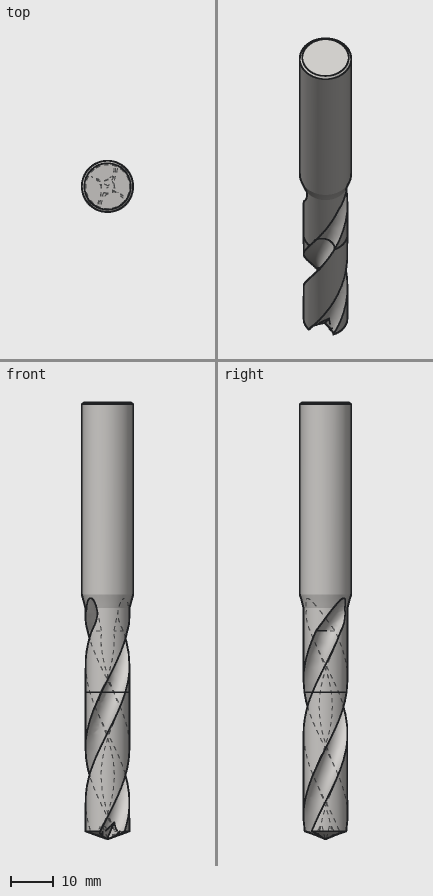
import cadquery as cq
import math

total_length = 102.0
shank_diameter = 12.0
body_diameter = 10.3
shank_chamfer_width = 0.6
shank_chamfer_height = 0.4
shank_bottom = 57.1
shoulder_height = 3.2
joint_height = 34.4
point_angle = 140.0

flute_count = 2
flute_pitch = 64.0
flute_radius = 3.0
core_radius = 1.5
flute_level = 15.0
flute_start = -1.0
flute_end = 48.8
runout_height = 9.2
runout_outward = 0.33
runout_sideways = 0.7

gash_root = cq.Vector(0, -0.2, 0.3)
gash_land_corner = cq.Vector(-1.1, -2.4, 1.7)
gash_lip_corner = cq.Vector(2.9, -1.8, 1.9)
gash_apex = cq.Vector(1.9, -1.2, 4.8)
gash_overrun = 0.3

shank_radius = shank_diameter / 2
body_radius = body_diameter / 2
point_height = body_radius / math.tan(math.radians(point_angle / 2))
shoulder_bottom = shank_bottom - shoulder_height
flute_offset = core_radius + flute_radius
flute_angles = [i * 360.0 / flute_count for i in range(flute_count)]


def turn_angle(height):
    """Helix angle about Z, in degrees, of the first flute at a height."""
    return 360.0 * (height - flute_level) / flute_pitch


def revolve(outline):
    return cq.Workplane("XZ").polyline(outline).close().revolve(360, (0, 0, 0), (0, 1, 0))


def make_flute(start_angle):
    """Helical part of one flute, a twisted round section."""
    length = flute_end - flute_start
    twist = turn_angle(flute_end) - turn_angle(flute_start)
    flute = (
        cq.Workplane("XY")
        .moveTo(flute_offset, 0)
        .circle(flute_radius)
        .twistExtrude(length, twist)
    )
    return (
        flute.rotate((0, 0, 0), (0, 0, 1), turn_angle(flute_start) + start_angle)
        .translate((0, 0, flute_start))
    )


def make_runout(start_angle):
    """Straight end of one flute, leaning outward until it leaves the drill."""
    section = cq.Wire.makeCircle(flute_radius, cq.Vector(flute_offset, 0, 0), cq.Vector(0, 0, 1))
    travel = cq.Vector(runout_outward, runout_sideways, 1.0) * runout_height
    runout = cq.Workplane(cq.Solid.extrudeLinear(section, [], travel))
    return (
        runout.rotate((0, 0, 0), (0, 0, 1), turn_angle(flute_end) + start_angle)
        .translate((0, 0, flute_end))
    )


def make_gash(start_angle):
    """Three-sided prism whose lowest edge is the valley of one gash."""
    valley = gash_apex - gash_root
    lead_in = valley * -gash_overrun
    corners = [corner + lead_in for corner in (gash_root, gash_land_corner, gash_lip_corner)]
    section = cq.Wire.makePolygon(corners, close=True)
    gash = cq.Workplane(cq.Solid.extrudeLinear(section, [], valley - lead_in))
    return gash.rotate((0, 0, 0), (0, 0, 1), start_angle)


def cut_flutes(body):
    for angle in flute_angles:
        body = body.cut(make_flute(angle)).cut(make_runout(angle))
    return body


def make_shank_body():
    outline = [
        (0, joint_height),
        (body_radius, joint_height),
        (body_radius, shoulder_bottom),
        (shank_radius, shank_bottom),
        (shank_radius, total_length - shank_chamfer_height),
        (shank_radius - shank_chamfer_width, total_length),
        (0, total_length),
    ]
    return cut_flutes(revolve(outline))


def make_cutting_head():
    outline = [
        (0, 0),
        (body_radius, point_height),
        (body_radius, joint_height),
        (0, joint_height),
    ]
    head = cut_flutes(revolve(outline))
    for angle in flute_angles:
        head = head.cut(make_gash(angle))
    return head


shank_body = make_shank_body()
cutting_head = make_cutting_head()

result = cq.Compound.makeCompound([shank_body.solids().val(), cutting_head.solids().val()])